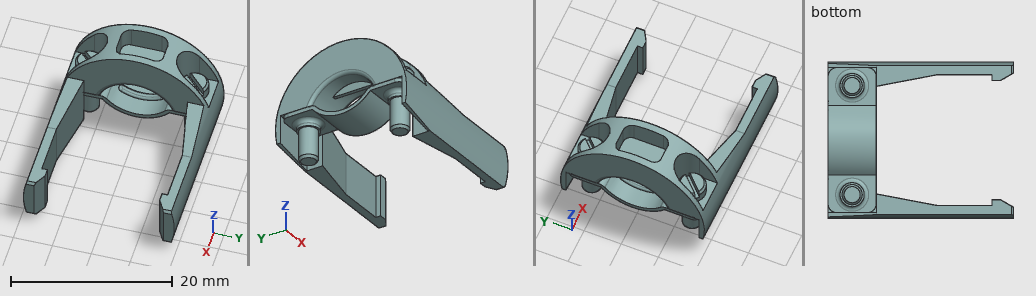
import cadquery as cq
import math

length = 23.0
outer_diameter = 19.4
outer_radius = outer_diameter / 2
overall_height = 13.57
clamp_depth = 6.03
mid_x = clamp_depth / 2

seat_z = 1.93
arm_top_z = 2.83
arm_bottom_z = -3.04
front_bottom_z = -1.98
arm_taper_end_x = 13.52
taper_angle = math.radians(10)
tip_chamfer_x = 0.28
tip_chamfer_z = 0.35

arm_root_y = 6.65
arm_inner_y = 8.07
hook_start_x = 20.29
hook_flat_end_x = 21.37
hook_inner_y = 7.35
hook_tip_y = 8.3

bore_radius = 5.0
bore_rounding = 0.45
rib_z = 4.0
rib_root_width = 1.0
rib_tip_width = 0.5

crown_pocket_x = 4.12
crown_pocket_y = 6.0
crown_pocket_floor_z = 6.72
crown_pocket_corner = 1.04

screw_spacing = 13.5
screw_y = screw_spacing / 2
head_floor_z = 3.08
head_pocket_diameter = 4.46
head_diameter = 3.5
head_top_z = 4.72
head_chamfer_height = 0.37
head_chamfer_width = 0.25
driver_slot_width = 0.58
driver_slot_depth = 0.92
driver_slot_angle = 45
shank_diameter = 2.5
shank_bottom_z = outer_radius - overall_height
shank_chamfer_height = 0.37
shank_chamfer_width = 0.25

bracket_thickness = 0.55
bracket_half_width = 8.97
bracket_setback = 0.05
bracket_corner = 1.08
bend_radius = 1.1
saddle_radius = 5.05
saddle_centre_z = 5.0
collar_diameter = 3.0
collar_bottom_z = 0.41
collar_fillet = 0.55

bead_height = 0.3
bead_width = 1.0
bead_length = 6.16
bead_rounding = 0.28


def cylinder_x(radius, centre_z=0.0, start_x=0.0, end_x=length):
    """Solid cylinder along X."""
    disc = cq.Workplane("YZ", origin=(start_x, 0, centre_z)).circle(radius)
    return disc.extrude(end_x - start_x)


def box_between(low, high):
    """Box from its lowest to its highest corner."""
    size = [b - a for a, b in zip(low, high)]
    return cq.Workplane("XY").box(*size, centered=False).translate(low)


def make_envelope():
    """Outer cylinder trimmed to the side profile of clamp and arms."""
    arm_root_z = arm_top_z + (arm_taper_end_x - clamp_depth) * math.tan(taper_angle)
    side = (
        cq.Workplane("XZ")
        .moveTo(0, front_bottom_z)
        .lineTo(0, outer_radius)
        .lineTo(clamp_depth, outer_radius)
        .lineTo(clamp_depth, arm_root_z)
        .lineTo(arm_taper_end_x, arm_top_z)
        .lineTo(length - tip_chamfer_x, arm_top_z)
        .lineTo(length, arm_top_z - tip_chamfer_z)
        .lineTo(length, arm_bottom_z + tip_chamfer_z)
        .lineTo(length - tip_chamfer_x, arm_bottom_z)
        .lineTo(clamp_depth, arm_bottom_z)
        .close()
        .extrude(outer_radius, both=True)
    )
    return cylinder_x(outer_radius).intersect(side)


def make_arm_gap():
    """Space between the two arms, open at the far end."""
    edge = [
        (clamp_depth, arm_root_y),
        (arm_taper_end_x, arm_inner_y),
        (hook_start_x, arm_inner_y),
        (hook_start_x, hook_inner_y),
        (hook_flat_end_x, hook_inner_y),
        (length, hook_tip_y),
    ]
    mirrored = [(x, -y) for x, y in reversed(edge)]
    gap = cq.Workplane("XY").polyline(edge + mirrored).close()
    return gap.extrude(outer_radius, both=True)


def make_bore():
    """Bore through the clamp, rounded outwards at both mouths."""
    mouth_radius = bore_radius + bore_rounding
    inset = bore_rounding * (1 - math.sqrt(0.5))
    profile = (
        cq.Workplane("XY")
        .lineTo(0, mouth_radius)
        .threePointArc((inset, bore_radius + inset), (bore_rounding, bore_radius))
        .lineTo(clamp_depth - bore_rounding, bore_radius)
        .threePointArc((clamp_depth - inset, bore_radius + inset), (clamp_depth, mouth_radius))
        .lineTo(clamp_depth, 0)
        .close()
    )
    return profile.revolve(360, (0, 0, 0), (1, 0, 0))


def make_bore_rib():
    """Rib with a straight lower edge and sloping flanks, across the top of the bore."""
    half_root = rib_root_width / 2
    half_tip = rib_tip_width / 2
    section = (
        cq.Workplane("XZ")
        .moveTo(mid_x - half_tip, rib_z)
        .lineTo(mid_x + half_tip, rib_z)
        .lineTo(mid_x + half_root, bore_radius)
        .lineTo(mid_x - half_root, bore_radius)
        .close()
        .extrude(bore_radius, both=True)
    )
    return section.intersect(cylinder_x(bore_radius + bore_rounding / 2))


def make_crown_pocket():
    """Rounded rectangular pocket sunk into the crown."""
    return (
        cq.Workplane("XY", origin=(mid_x, 0, crown_pocket_floor_z))
        .rect(crown_pocket_x, crown_pocket_y)
        .extrude(outer_radius)
        .edges("|Z")
        .fillet(crown_pocket_corner)
    )


def make_head_pocket(side):
    """Flat-floored pocket for a screw head, open towards the outside."""
    centre = cq.Workplane("XY", origin=(mid_x, side * screw_y, head_floor_z))
    round_end = centre.circle(head_pocket_diameter / 2).extrude(outer_radius)
    opening = (
        centre.center(0, side * outer_radius / 2)
        .rect(head_pocket_diameter, outer_radius)
        .extrude(outer_radius)
    )
    return round_end.union(opening)


def make_clamp():
    """Half shell with arms, rounded bore and all pockets."""
    recess = box_between(
        (0, -bracket_half_width, -outer_radius),
        (clamp_depth, bracket_half_width, seat_z),
    )
    clamp = make_envelope().cut(make_arm_gap()).cut(recess).cut(make_bore())
    clamp = clamp.union(make_bore_rib()).cut(make_crown_pocket())
    for side in (-1, 1):
        clamp = clamp.cut(make_head_pocket(side))
    return clamp


def make_bracket():
    """Sheet bracket: flat wings, a sagging middle, and a collar under each wing."""
    start_x = bracket_setback
    end_x = clamp_depth - bracket_setback
    lower_z = seat_z - bracket_thickness
    lower_radius = saddle_radius + bracket_thickness
    plate = box_between(
        (start_x, -bracket_half_width, lower_z),
        (end_x, bracket_half_width, seat_z),
    )
    plate = plate.edges("|Z").fillet(bracket_corner)
    below_seat = box_between(
        (start_x, -outer_radius, -outer_radius),
        (end_x, outer_radius, seat_z),
    )
    sag = cylinder_x(lower_radius, saddle_centre_z, start_x, end_x).intersect(below_seat)
    bracket = plate.union(sag).cut(cylinder_x(saddle_radius, saddle_centre_z))

    bend_y = math.sqrt(saddle_radius**2 - (saddle_centre_z - seat_z) ** 2)
    for side in (-1, 1):
        bend = cq.selectors.NearestToPointSelector((mid_x, side * bend_y, seat_z))
        bracket = bracket.edges(bend).fillet(bend_radius)

    for side in (-1, 1):
        bracket = bracket.union(make_collar(side, lower_z))
    return bracket.union(make_bead())


def make_collar(side, plate_z):
    """Drawn collar around a screw, flaring into the plate above."""
    radius = collar_diameter / 2
    flare_inset = collar_fillet * (1 - math.sqrt(0.5))
    profile = (
        cq.Workplane("XZ")
        .moveTo(0, collar_bottom_z)
        .lineTo(radius, collar_bottom_z)
        .lineTo(radius, plate_z - collar_fillet)
        .threePointArc(
            (radius + flare_inset, plate_z - flare_inset),
            (radius + collar_fillet, plate_z),
        )
        .lineTo(0, plate_z)
        .close()
    )
    collar = profile.revolve(360, (0, 0, 0), (0, 1, 0))
    return collar.translate((mid_x, side * screw_y, 0))


def make_bead():
    """Oblong raised bead following the saddle."""
    embed = bracket_thickness / 2
    ring = cylinder_x(saddle_radius + embed, saddle_centre_z)
    ring = ring.cut(cylinder_x(saddle_radius - bead_height, saddle_centre_z))
    oblong = (
        cq.Workplane("XY", origin=(mid_x, 0, saddle_centre_z))
        .slot2D(bead_length, bead_width, 90)
        .extrude(-2 * saddle_radius)
    )
    crest = cq.selectors.NearestToPointSelector((mid_x, 0, saddle_centre_z))
    return ring.intersect(oblong).faces(crest).edges().fillet(bead_rounding)


def make_screw(side):
    """Slotted cheese-head screw, chamfered at the head and at the tip."""
    head_radius = head_diameter / 2
    shank_radius = shank_diameter / 2
    profile = (
        cq.Workplane("XZ")
        .moveTo(0, shank_bottom_z)
        .lineTo(shank_radius - shank_chamfer_width, shank_bottom_z)
        .lineTo(shank_radius, shank_bottom_z + shank_chamfer_height)
        .lineTo(shank_radius, head_floor_z)
        .lineTo(head_radius, head_floor_z)
        .lineTo(head_radius, head_top_z - head_chamfer_height)
        .lineTo(head_radius - head_chamfer_width, head_top_z)
        .lineTo(0, head_top_z)
        .close()
    )
    screw = profile.revolve(360, (0, 0, 0), (0, 1, 0))
    driver_slot = (
        cq.Workplane("XY", origin=(0, 0, head_top_z - driver_slot_depth))
        .rect(2 * head_diameter, driver_slot_width)
        .extrude(2 * driver_slot_depth)
        .rotate((0, 0, 0), (0, 0, 1), driver_slot_angle)
    )
    return screw.cut(driver_slot).translate((mid_x, side * screw_y, 0))


result = make_clamp().union(make_bracket())
for screw_side in (-1, 1):
    result = result.union(make_screw(screw_side))